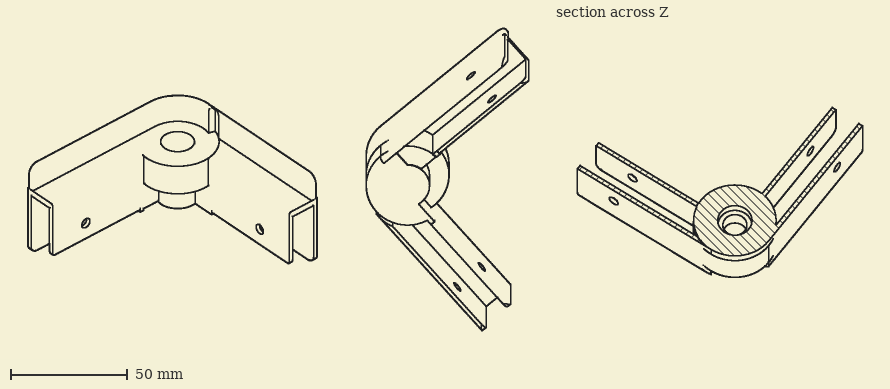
import cadquery as cq
import math


overall_length = 87.8
overall_height = 46.0
hinge_diameter = 35.55
hinge_radius = hinge_diameter / 2
arm_end = overall_length - hinge_radius

channel_width = 16.0
outer_wall = 2.1
inner_wall = 2.0
roof_top = 33.9
roof_thickness = 3.1
roof_edge_radius = 1.0
inner_wall_bottom = 5.1
inner_rounding_start = 19.8
outer_end_radius = 3.5
inner_end_radius = 3.2
screw_diameter = 4.6
screw_from_axis = 50.9
screw_height = 14.5

lip_thickness = 3.2
lip_edge_radius = 1.1
lip_end_radius = 5.0
lip_wrap_angle = 16.5

knuckle_split = 19.2
boss_diameter = 18.8
stop_offset = 6.1
stop_bottom = 5.9
upper_bore = 14.5
lower_bore = 10.3
lower_bore_depth = 7.0

outer_face = hinge_radius
inner_face = outer_face - channel_width
lip_height = overall_height - roof_top


def cylinder(diameter, bottom, top):
    return cq.Workplane("XY").workplane(offset=bottom).circle(diameter / 2).extrude(top - bottom)


def block(x_range, y_range, z_range):
    """Box between two limits on each axis."""
    corners = list(zip(x_range, y_range, z_range))
    size = [high - low for low, high in zip(*corners)]
    return cq.Workplane("XY").box(*size, centered=False).translate(corners[0])


def hinge_cylinder():
    """Full-height hinge cylinder, which bounds the knuckles and the arm roots."""
    return cylinder(hinge_diameter, 0, overall_height)


def arc_middle_inset(radius):
    """Distance from each face of a corner to the middle of the quarter arc that rounds it."""
    return radius * (1 - math.sqrt(0.5))


def channel():
    """Arm section with rounded outside edges, extruded along +X from the hinge axis."""
    outer_inside = outer_face - outer_wall
    inner_inside = inner_face + inner_wall
    roof_bottom = roof_top - roof_thickness
    outer_bevel = arc_middle_inset(outer_wall)
    inner_bevel = arc_middle_inset(inner_wall)
    roof_bevel = arc_middle_inset(roof_edge_radius)
    return (
        cq.Workplane("YZ")
        .moveTo(outer_face, roof_top)
        .lineTo(outer_face, outer_wall)
        .threePointArc((outer_face - outer_bevel, outer_bevel), (outer_inside, 0))
        .lineTo(outer_inside, roof_bottom)
        .lineTo(inner_inside, roof_bottom)
        .lineTo(inner_inside, inner_wall_bottom)
        .threePointArc(
            (inner_face + inner_bevel, inner_wall_bottom + inner_bevel),
            (inner_face, inner_wall_bottom + inner_wall),
        )
        .lineTo(inner_face, roof_top - roof_edge_radius)
        .threePointArc(
            (inner_face + roof_bevel, roof_top - roof_bevel),
            (inner_face + roof_edge_radius, roof_top),
        )
        .close()
        .extrude(arm_end)
    )


def end_corner(radius, bottom, y_range):
    """Material outside the rounded lower corner at the free end of a wall."""
    corner = block((arm_end - radius, arm_end), y_range, (bottom, bottom + radius))
    rounding = (
        cq.Workplane("XZ", origin=(arm_end - radius, y_range[1], bottom + radius))
        .circle(radius)
        .extrude(y_range[1] - y_range[0])
    )
    return corner.cut(rounding)


def arm():
    """One full-length channel arm without lip, up to the hinge axis."""
    middle = (inner_face + outer_face) / 2
    square_stretch = block(
        (0, inner_rounding_start),
        (inner_face, inner_face + inner_wall),
        (inner_wall_bottom, inner_wall_bottom + inner_wall),
    )
    screw_hole = (
        cq.Workplane("XZ", origin=(screw_from_axis, outer_face, screw_height))
        .circle(screw_diameter / 2)
        .extrude(channel_width)
    )
    return (
        channel()
        .union(square_stretch)
        .cut(end_corner(outer_end_radius, 0, (middle, outer_face)))
        .cut(end_corner(inner_end_radius, inner_wall_bottom, (inner_face, middle)))
        .cut(screw_hole)
    )


def straight_lip_blank():
    """Straight lip with a rounded upper corner at the free end."""
    return (
        block((0, arm_end), (outer_face - lip_thickness, outer_face), (roof_top, overall_height))
        .edges("|Y and >X and >Z")
        .fillet(lip_end_radius)
    )


def straight_lip():
    """Lip of the lower arm, which ends at the hinge cylinder."""
    blank = straight_lip_blank()
    lip = blank.faces(">X or >Z").edges("not |Y").edges("not <Z").fillet(lip_edge_radius)
    return lip.cut(hinge_cylinder())


def wrapped_lip():
    """Lip of the upper arm, which curves on around the hinge."""
    curve = (
        cq.Workplane("XZ")
        .moveTo(hinge_radius - lip_thickness, roof_top)
        .rect(lip_thickness, lip_height, centered=False)
        .revolve(90 + lip_wrap_angle, (0, 0, 0), (0, 1, 0))
        .rotate((0, 0, 0), (0, 0, 1), 90)
    )
    lip = straight_lip_blank().union(curve)
    return lip.faces(">Z").edges().fillet(lip_edge_radius)


def to_upper_arm(shape):
    """Mirror a shape from the +X arm onto the -Y arm."""
    return shape.mirror("XZ").rotate((0, 0, 0), (0, 0, 1), -90)


def lower_knuckle():
    """Round boss with the part of the hinge cylinder that lies behind the two stop faces."""
    heights = (inner_wall_bottom, knuckle_split)
    left_part = block((-hinge_radius, 0), (-stop_offset, hinge_radius), heights)
    right_part = block((0, hinge_radius), (inner_face, hinge_radius), heights)
    boss = cylinder(boss_diameter, *heights)
    boss_root = block((0, boss_diameter / 2), (0, inner_face), heights)
    return left_part.union(right_part).intersect(hinge_cylinder()).union(boss).union(boss_root)


def lower_bracket():
    """Arm along +X with the lower knuckle."""
    bore = cylinder(lower_bore, knuckle_split - lower_bore_depth, knuckle_split)
    return arm().cut(hinge_cylinder()).union(straight_lip()).union(lower_knuckle()).cut(bore)


def stop_block():
    """Filling of the hinge cylinder at the root of the upper arm, which meets the lower stop face."""
    filling = block(
        (-hinge_radius, -inner_face), (-hinge_radius, -stop_offset), (stop_bottom, knuckle_split)
    )
    return filling.intersect(hinge_cylinder()).cut(lower_knuckle())


def upper_bracket():
    """Arm along -Y with the upper knuckle, which rests on the lower knuckle."""
    knuckle = cylinder(hinge_diameter, knuckle_split, roof_top)
    bore = cylinder(upper_bore, knuckle_split, roof_top)
    return (
        to_upper_arm(arm())
        .cut(cylinder(hinge_diameter, inner_wall_bottom, overall_height))
        .union(knuckle)
        .union(stop_block())
        .union(to_upper_arm(wrapped_lip()))
        .cut(bore)
    )


lower = lower_bracket().solids()
upper = upper_bracket().solids()
result = cq.Compound.makeCompound([lower.val(), upper.val()])